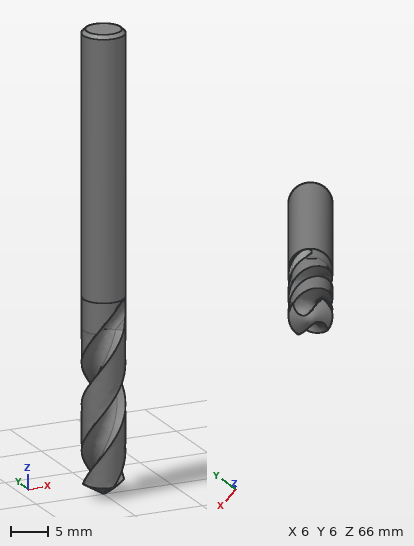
import cadquery as cq
import math

total_length = 66.0
shank_diameter = 6.0
shank_chamfer = 0.5
cutting_diameter = 5.95
cutting_length = 28.05
point_angle = 118.0

flute_count = 2
helix_pitch = 24.9
helix_top = 23.6
flute_half_angle = 42.0
lip_inner_radius = 1.8
lip_inner_angle = 38.6
root_radius = 1.1
root_angle = -42.0
cutter_radius = 4.6

runout_height = 6.6
runout_outward_slope = 0.27


def flute_point(radius, angle):
    """Point at an angle measured anticlockwise from -Y."""
    turn = math.radians(angle)
    return radius * math.sin(turn), -radius * math.cos(turn)


def make_shank():
    """Chamfered shank with the plain neck where the flutes run out."""
    neck = (
        cq.Workplane("XY")
        .workplane(offset=helix_top)
        .circle(cutting_diameter / 2)
        .extrude(cutting_length - helix_top)
    )
    shank = (
        cq.Workplane("XY")
        .workplane(offset=cutting_length)
        .circle(shank_diameter / 2)
        .extrude(total_length - cutting_length)
        .faces(">Z")
        .edges()
        .chamfer(shank_chamfer)
    )
    return neck.union(shank)


def make_fluted_bar():
    """Cutting section twisted from the point level up to the top of the helix."""
    twist = 360 * helix_top / helix_pitch
    rim_radius = cutting_diameter / 2
    section = (
        cq.Workplane("XY")
        .transformed(rotate=(0, 0, -twist))
        .moveTo(*flute_point(rim_radius, -flute_half_angle))
    )
    for index in range(flute_count):
        turn = index * 360 / flute_count
        next_turn = turn + 360 / flute_count
        section = (
            section
            .threePointArc(
                flute_point(root_radius, turn + root_angle),
                flute_point(lip_inner_radius, turn + lip_inner_angle),
            )
            .lineTo(*flute_point(rim_radius, turn + flute_half_angle))
            .threePointArc(
                flute_point(rim_radius, (turn + next_turn) / 2),
                flute_point(rim_radius, next_turn - flute_half_angle),
            )
        )
    return section.close().twistExtrude(helix_top, twist)


def make_point_envelope():
    """Cone over the point, continued as a cylinder clear of the fluted bar."""
    point_height = cutter_radius / math.tan(math.radians(point_angle / 2))
    outline = (
        cq.Workplane("XZ")
        .moveTo(0, 0)
        .lineTo(cutter_radius, point_height)
        .lineTo(cutter_radius, total_length)
        .lineTo(0, total_length)
        .close()
    )
    return outline.revolve(360, (0, 0, 0), (0, 1, 0))


def flute_section():
    """Flute outline at the top of the helix, where the flute faces -Y."""
    rim_radius = cutting_diameter / 2
    return (
        cq.Workplane("XY")
        .workplane(offset=helix_top)
        .moveTo(*flute_point(rim_radius, -flute_half_angle))
        .threePointArc(
            flute_point(root_radius, root_angle),
            flute_point(lip_inner_radius, lip_inner_angle),
        )
        .lineTo(*flute_point(rim_radius, flute_half_angle))
        .lineTo(*flute_point(cutter_radius, flute_half_angle))
        .lineTo(*flute_point(cutter_radius, -flute_half_angle))
        .close()
    )


def make_runout_cutter():
    """Flute section carried straight on, along the helix and outwards."""
    helix_slope = math.pi * cutting_diameter / helix_pitch
    travel = cq.Vector(
        helix_slope * runout_height,
        -runout_outward_slope * runout_height,
        runout_height,
    )
    section_wire = flute_section().val()
    return cq.Workplane(cq.Solid.extrudeLinear(section_wire, [], travel))


shank = make_shank()
runout_cutter = make_runout_cutter()
for index in range(flute_count):
    angle = index * 360 / flute_count
    shank = shank.cut(runout_cutter.rotate((0, 0, 0), (0, 0, 1), angle))

result = make_fluted_bar().intersect(make_point_envelope()).union(shank)